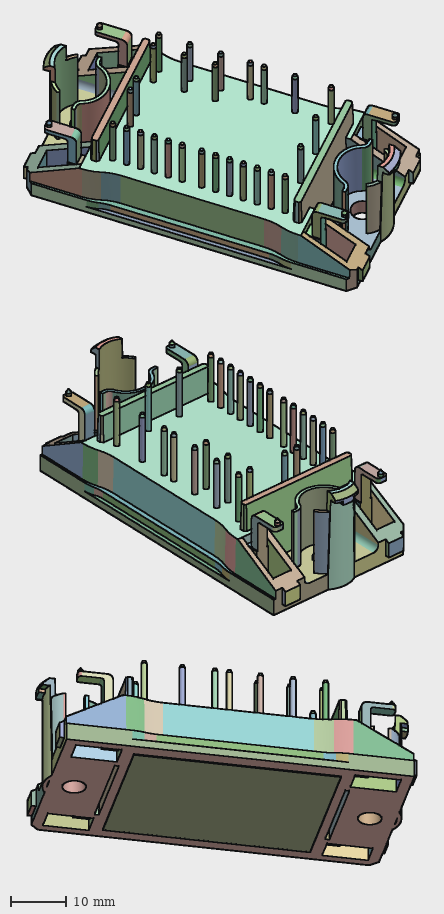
import cadquery as cq
import math

CLEARANCE = 0.7

SOLE_TOP = 0.2
RECESS_FLOOR = 1.7
FLANGE_TOP = 3.55
BODY_TOP = 11.15
BAR_TOP = 16.75
SHIELD_TOP = 15.65
HOOK_TOP = 20.85
PIN_TOP = 21.3

FLANGE_HALF_LENGTH = 64.2 / 2
FLANGE_HALF_WIDTH = 32.5 / 2
CORNER_CHAMFER = 1.5
SOLE_LENGTH = 38.3
SOLE_WIDTH = 27.2

BODY_HALF_WIDTH = 15.8
WAIST_HALF_WIDTH = 14.65
WAIST_HALF_LENGTH = 13.95
WAIST_BEND_END = 21.0
BODY_DRAFT = 1.4
RAMP_START = 21.55
RAMP_END = 33.0
RAMP_END_HEIGHT = 4.8

RECESS_HALF_WIDTH = 15.7
RECESS_FLOOR_RISE = 0.35
RECESS_INNER = 15.4
RECESS_OUTER = 19.9

BAY_HALF_WIDTH = 8.8
BAY_START = 21.7
BAY_FILLET = 1.15
SLIT_START = 20.2
WINDOW_START = 21.55
WINDOW_END = 30.0
WINDOW_WIDTH = 4.3
CONTACT_Y = 12.4
TAB_WIDTH = 3.55
MOUNT_X = 27.3
MOUNT_DIAMETER = 4.3

CLIP_INNER_RADIUS = 4.9
CLIP_OUTER_RADIUS = 5.75
CLIP_WING_RADIUS = 5.6
CLIP_HALF_ANGLE = 61
CLIP_END_FILLET = 0.3
HOOK_RADIUS = 6.9
CLIP_TOP_WIDTH = 5.5
CLIP_BOTTOM_WIDTH = 6.4
HOOK_NIB_WIDTH = 2.45
HOOK_TIP_BOTTOM = 18.55
HOOK_TIP_MIDDLE = 19.3
HOOK_TIP_TOP = 19.85
HOOK_CREST_RADIUS = 5.8
SHIELD_RADIUS = 4.85
SHIELD_THICKNESS = 0.7
SHIELD_BEND_RADIUS = 1.4
SHIELD_END_X = 0.95
SHIELD_HALF_WIDTH = 6.65

BAR_X = 19.7
BAR_THICKNESS = 2.4
BAR_LENGTH = 26.75
BAR_DRAFT = 1.8
BAR_END_CHAMFER = 0.6

PIN_DIAMETER = 1.1
PIN_TIP_HEIGHT = 0.6
PIN_TIP_TAPER = 20
PIN_COLUMN_X = 16.75
PIN_ROW_Y = 11.3
PIN_PITCH = 2.7
PIN_WIDE_PITCH = 6.0
FRONT_LEFT_PINS = 6
FRONT_RIGHT_PINS = 7
REAR_PAIRS = 3
REAR_SINGLE_PINS_X = (1.0, 3.7, 9.7, PIN_COLUMN_X)
LEFT_INNER_PINS_Y = (0.2, -2.7)
RIGHT_INNER_PINS_Y = (3.7, -3.7)

CONTACT_TOP = 16.5
ARM_THICKNESS = 1.0
ARM_WIDTH = 2.3
ARM_END = 29.35
ARM_END_FILLET = 0.7
LEG_INNER = 22.9
LEG_THICKNESS = 1.7
BEND_OUTER_RADIUS = 1.1
BEND_INNER_RADIUS = 0.55
LEG_BOTTOM = 2.05
FOOT_WIDTH = 2.75
FOOT_TOP = 9.2
NUB_X = 28.7
NUB_DIAMETER = 1.0
NUB_CYLINDER_HEIGHT = 0.6
NUB_CONE_HEIGHT = 0.75


def box(x_min, x_max, y_min, y_max, z_min, z_max):
    size = (x_max - x_min, y_max - y_min, z_max - z_min)
    return cq.Workplane().box(*size, centered=False).translate((x_min, y_min, z_min))


def on_both_ends(shape):
    return shape.union(shape.mirror("YZ"))


def on_both_sides(shape):
    return shape.union(shape.mirror("XZ"))


def ring_sector(center, inner_radius, outer_radius, start, end, bottom, top):
    """Curved wall between two angles, given in degrees."""
    def at(radius, angle):
        turn = math.radians(angle)
        return (center[0] + radius * math.cos(turn), center[1] + radius * math.sin(turn))

    middle = (start + end) / 2
    return (
        cq.Workplane().workplane(offset=bottom)
        .moveTo(*at(outer_radius, start))
        .threePointArc(at(outer_radius, middle), at(outer_radius, end))
        .lineTo(*at(inner_radius, end))
        .threePointArc(at(inner_radius, middle), at(inner_radius, start))
        .close()
        .extrude(top - bottom)
    )


def s_bend(path, start, end):
    """Two equal tangent arcs that join two parallel straight stretches."""
    middle = ((start[0] + end[0]) / 2, (start[1] + end[1]) / 2)
    return (
        path.lineTo(*start)
        .tangentArcPoint(middle, relative=False)
        .tangentArcPoint(end, relative=False)
    )


def make_footprint(top):
    """Block over the whole flange outline, up to the given level."""
    length, width = FLANGE_HALF_LENGTH, FLANGE_HALF_WIDTH
    footprint = box(-length, length, -width, width, SOLE_TOP, top)
    return footprint.edges("|Z and <Y").chamfer(CORNER_CHAMFER)


def make_flange():
    width, depth_line = FLANGE_HALF_WIDTH, RECESS_HALF_WIDTH
    outside = width + CLEARANCE
    recess = cq.Workplane().moveTo(-RECESS_OUTER - CLEARANCE, width)
    recess = s_bend(recess, (-RECESS_OUTER, width), (-RECESS_INNER, depth_line))
    recess = s_bend(recess, (RECESS_INNER, depth_line), (RECESS_OUTER, width))
    recess = recess.lineTo(RECESS_OUTER, outside).lineTo(-RECESS_OUTER - CLEARANCE, outside).close()
    above_sloped_floor = (
        cq.Workplane("YZ")
        .moveTo(outside, RECESS_FLOOR)
        .lineTo(width, RECESS_FLOOR)
        .lineTo(depth_line, RECESS_FLOOR + RECESS_FLOOR_RISE)
        .lineTo(depth_line, FLANGE_TOP)
        .lineTo(outside, FLANGE_TOP)
        .close()
        .extrude(RECESS_OUTER, both=True)
    )
    recess = recess.extrude(FLANGE_TOP).intersect(above_sloped_floor)
    return make_footprint(FLANGE_TOP).cut(on_both_sides(recess))


def make_body():
    width, waist = BODY_HALF_WIDTH, WAIST_HALF_WIDTH
    bend_end, bend_start = WAIST_BEND_END, WAIST_HALF_LENGTH

    outline = cq.Workplane().workplane(offset=FLANGE_TOP).moveTo(-RAMP_END, width)
    outline = s_bend(outline, (-bend_end, width), (-bend_start, waist))
    outline = s_bend(outline, (bend_start, waist), (bend_end, width))
    outline = outline.lineTo(RAMP_END, width).lineTo(RAMP_END, -width)
    outline = s_bend(outline, (bend_end, -width), (bend_start, -waist))
    outline = s_bend(outline, (-bend_start, -waist), (-bend_end, -width))
    outline = outline.lineTo(-RAMP_END, -width).close()
    body = outline.extrude(BODY_TOP - FLANGE_TOP, taper=BODY_DRAFT)
    return body.intersect(make_footprint(BODY_TOP)).intersect(ramp_envelope(2 * width))


def ramp_envelope(width):
    """Everything below the body top and its two end ramps."""
    return (
        cq.Workplane("XZ")
        .moveTo(-RAMP_END, SOLE_TOP)
        .lineTo(-RAMP_END, RAMP_END_HEIGHT)
        .lineTo(-RAMP_START, BODY_TOP)
        .lineTo(RAMP_START, BODY_TOP)
        .lineTo(RAMP_END, RAMP_END_HEIGHT)
        .lineTo(RAMP_END, SOLE_TOP)
        .close()
        .extrude(width / 2, both=True)
    )


def make_tabs():
    tab = box(
        WINDOW_END, RAMP_END,
        CONTACT_Y - TAB_WIDTH / 2, CONTACT_Y + TAB_WIDTH / 2,
        RECESS_FLOOR, BODY_TOP,
    )
    tabs = on_both_ends(on_both_sides(tab))
    return tabs.intersect(ramp_envelope(2 * FLANGE_HALF_WIDTH))


def make_end_openings():
    bay = box(
        BAY_START, RAMP_END + CLEARANCE,
        -BAY_HALF_WIDTH, BAY_HALF_WIDTH,
        FLANGE_TOP, BODY_TOP + CLEARANCE,
    )
    bay = bay.edges("|X and <Z").fillet(BAY_FILLET)
    slit = box(SLIT_START, BAY_START, -BAY_HALF_WIDTH, BAY_HALF_WIDTH, 0, BODY_TOP + CLEARANCE)
    window = box(
        WINDOW_START, WINDOW_END,
        CONTACT_Y - WINDOW_WIDTH / 2, CONTACT_Y + WINDOW_WIDTH / 2,
        0, BODY_TOP + CLEARANCE,
    )
    hole = cq.Workplane().center(MOUNT_X, 0).circle(MOUNT_DIAMETER / 2).extrude(BODY_TOP)
    return on_both_ends(bay.union(slit).union(on_both_sides(window)).union(hole))


def hook_ring(tip_bottom):
    """Full turn of the clip wall with its hook around the mounting hole."""
    return (
        cq.Workplane("XZ")
        .moveTo(CLIP_INNER_RADIUS, SOLE_TOP)
        .lineTo(CLIP_INNER_RADIUS, HOOK_TOP)
        .lineTo(HOOK_CREST_RADIUS, HOOK_TOP)
        .lineTo(HOOK_RADIUS, HOOK_TIP_TOP)
        .lineTo(HOOK_RADIUS, tip_bottom)
        .lineTo(CLIP_OUTER_RADIUS, tip_bottom)
        .lineTo(CLIP_OUTER_RADIUS, SOLE_TOP)
        .close()
        .revolve(360, (0, 0, 0), (0, 1, 0))
        .translate((MOUNT_X, 0, 0))
    )


def make_clips():
    reach = MOUNT_X + HOOK_RADIUS + CLEARANCE
    wings = ring_sector(
        (MOUNT_X, 0), CLIP_INNER_RADIUS, CLIP_WING_RADIUS,
        -CLIP_HALF_ANGLE, CLIP_HALF_ANGLE, FLANGE_TOP, BAR_TOP,
    )
    wings = wings.edges("|Z").fillet(CLIP_END_FILLET)
    pillar_shape = (
        cq.Workplane("YZ")
        .moveTo(-CLIP_BOTTOM_WIDTH / 2, SOLE_TOP)
        .lineTo(CLIP_BOTTOM_WIDTH / 2, SOLE_TOP)
        .lineTo(CLIP_TOP_WIDTH / 2, HOOK_TOP)
        .lineTo(-CLIP_TOP_WIDTH / 2, HOOK_TOP)
        .close()
        .extrude(reach)
    )
    nib_half = HOOK_NIB_WIDTH / 2
    nib_shape = box(MOUNT_X, reach, -nib_half, nib_half, HOOK_TIP_BOTTOM, HOOK_TOP)
    beyond_hole = box(MOUNT_X, reach, -MOUNT_X, MOUNT_X, 0, HOOK_TOP)
    pillar = hook_ring(HOOK_TIP_MIDDLE).intersect(pillar_shape).intersect(beyond_hole)
    nib = hook_ring(HOOK_TIP_BOTTOM).intersect(nib_shape)
    return on_both_ends(wings.union(pillar).union(nib))


def make_shields():
    """Shield walls: an arc around each mounting hole that bends back into two straight ends."""
    half = SHIELD_THICKNESS / 2
    reach = SHIELD_RADIUS + SHIELD_BEND_RADIUS
    bend_x = SHIELD_END_X + SHIELD_BEND_RADIUS
    angle = math.degrees(math.acos(bend_x / reach))
    bend_y = math.sqrt(reach**2 - bend_x**2)
    levels = (FLANGE_TOP, SHIELD_TOP)

    arc = ring_sector((0, 0), SHIELD_RADIUS - half, SHIELD_RADIUS + half, -angle, angle, *levels)
    bend = ring_sector(
        (bend_x, bend_y), SHIELD_BEND_RADIUS - half, SHIELD_BEND_RADIUS + half,
        180, 180 + angle, *levels,
    )
    straight = box(SHIELD_END_X - half, SHIELD_END_X + half, bend_y, SHIELD_HALF_WIDTH, *levels)
    shield = arc.union(on_both_sides(bend.union(straight)))
    return on_both_ends(shield.translate((-MOUNT_X, 0, 0)))


def make_bars():
    """Drafted bars that reach down through the body and flange to the sole."""
    bar = (
        cq.Workplane().workplane(offset=SOLE_TOP)
        .center(BAR_X, 0)
        .sketch()
        .rect(BAR_THICKNESS, BAR_LENGTH)
        .vertices()
        .chamfer(BAR_END_CHAMFER)
        .finalize()
        .extrude(BAR_TOP - SOLE_TOP, taper=BAR_DRAFT)
    )
    return on_both_ends(bar)


def pin_positions():
    left, right, row = -PIN_COLUMN_X, PIN_COLUMN_X, PIN_ROW_Y
    places = [(left + i * PIN_PITCH, -row) for i in range(FRONT_LEFT_PINS)]
    places += [(right - i * PIN_PITCH, -row) for i in range(FRONT_RIGHT_PINS)]
    for i in range(REAR_PAIRS):
        pair_x = left + i * PIN_WIDE_PITCH
        places += [(pair_x, row), (pair_x, row - PIN_PITCH)]
    places += [(x, row) for x in REAR_SINGLE_PINS_X]
    places += [(left, y) for y in LEFT_INNER_PINS_Y]
    places += [(right, y) for y in RIGHT_INNER_PINS_Y]
    return places


def make_pins():
    places = pin_positions()
    shoulder = PIN_TOP - PIN_TIP_HEIGHT
    shafts = (
        cq.Workplane().workplane(offset=FLANGE_TOP)
        .pushPoints(places)
        .circle(PIN_DIAMETER / 2)
        .extrude(shoulder - FLANGE_TOP)
    )
    tips = (
        cq.Workplane().workplane(offset=shoulder)
        .pushPoints(places)
        .circle(PIN_DIAMETER / 2)
        .extrude(PIN_TIP_HEIGHT, taper=PIN_TIP_TAPER)
    )
    return shafts.union(tips)


def make_contacts():
    leg_outer = LEG_INNER + LEG_THICKNESS
    arm_bottom = CONTACT_TOP - ARM_THICKNESS
    strip = (
        cq.Workplane("XZ")
        .moveTo(LEG_INNER, LEG_BOTTOM)
        .lineTo(LEG_INNER, CONTACT_TOP - BEND_OUTER_RADIUS)
        .tangentArcPoint((LEG_INNER + BEND_OUTER_RADIUS, CONTACT_TOP), relative=False)
        .lineTo(ARM_END, CONTACT_TOP)
        .lineTo(ARM_END, arm_bottom)
        .lineTo(leg_outer + BEND_INNER_RADIUS, arm_bottom)
        .tangentArcPoint((leg_outer, arm_bottom - BEND_INNER_RADIUS), relative=False)
        .lineTo(leg_outer, LEG_BOTTOM)
        .close()
        .extrude(ARM_WIDTH / 2, both=True)
    )
    foot = box(WINDOW_START - CLEARANCE, leg_outer, -FOOT_WIDTH / 2, FOOT_WIDTH / 2, LEG_BOTTOM, FOOT_TOP)
    radius = NUB_DIAMETER / 2
    nub = (
        cq.Workplane("XZ")
        .moveTo(0, CONTACT_TOP)
        .lineTo(radius, CONTACT_TOP)
        .lineTo(radius, CONTACT_TOP + NUB_CYLINDER_HEIGHT)
        .lineTo(0, CONTACT_TOP + NUB_CYLINDER_HEIGHT + NUB_CONE_HEIGHT)
        .close()
        .revolve(360, (0, 0, 0), (0, 1, 0))
        .translate((NUB_X, 0, 0))
    )
    strip = strip.edges("|Z and >X").fillet(ARM_END_FILLET)
    contact = strip.union(foot).union(nub).translate((0, CONTACT_Y, 0))
    return on_both_ends(on_both_sides(contact))


sole = box(-SOLE_LENGTH / 2, SOLE_LENGTH / 2, -SOLE_WIDTH / 2, SOLE_WIDTH / 2, 0, SOLE_TOP)
result = make_flange().union(make_body()).union(make_tabs()).union(sole)
result = result.cut(make_end_openings())
for feature in (make_clips(), make_shields(), make_bars(), make_pins(), make_contacts()):
    result = result.union(feature)